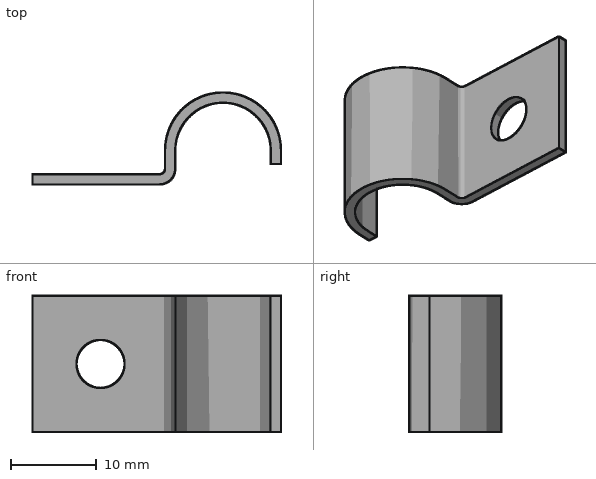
import cadquery as cq
import math

strip_width = 15.88
thickness = 1.22
overall_length = 28.97
pipe_radius = 5.55
plate_drop = 3.97
free_end_length = 1.59
bend_inner_radius = thickness / 2
hole_diameter = 5.56
hole_from_plate_end = strip_width / 2

outer_radius = pipe_radius + thickness
bend_outer_radius = bend_inner_radius + thickness
plate_end_x = outer_radius - overall_length
mounting_face_y = -plate_drop
plate_back_y = mounting_face_y + thickness
bend_x = -outer_radius - bend_inner_radius
bend_y = plate_back_y + bend_inner_radius
diagonal = math.sqrt(0.5)


def bend_midpoint(radius):
    """Middle of the quarter bend between the plate and the pipe loop."""
    return (bend_x + radius * diagonal, bend_y - radius * diagonal)


def make_strip():
    """Bent strip: flat plate, quarter bend, half circle and straight lip."""
    profile = (
        cq.Workplane("XY")
        .moveTo(plate_end_x, mounting_face_y)
        .lineTo(bend_x, mounting_face_y)
        .threePointArc(bend_midpoint(bend_outer_radius), (-pipe_radius, bend_y))
        .lineTo(-pipe_radius, 0)
        .threePointArc((0, pipe_radius), (pipe_radius, 0))
        .lineTo(pipe_radius, -free_end_length)
        .lineTo(outer_radius, -free_end_length)
        .lineTo(outer_radius, 0)
        .threePointArc((0, outer_radius), (-outer_radius, 0))
        .lineTo(-outer_radius, bend_y)
        .threePointArc(bend_midpoint(bend_inner_radius), (bend_x, plate_back_y))
        .lineTo(plate_end_x, plate_back_y)
        .close()
    )
    return profile.extrude(strip_width)


def make_screw_hole():
    """Cylinder that cuts the screw hole through the plate along Y."""
    hole_x = plate_end_x + hole_from_plate_end
    return (
        cq.Workplane("XZ", origin=(hole_x, plate_back_y, strip_width / 2))
        .circle(hole_diameter / 2)
        .extrude(thickness)
    )


result = make_strip().cut(make_screw_hole())